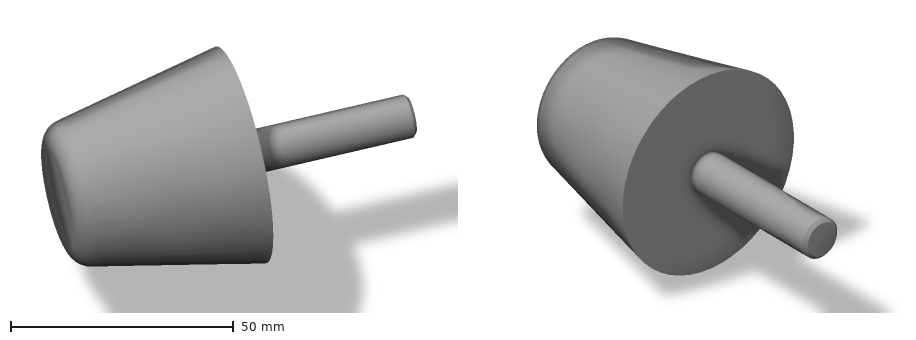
import cadquery as cq


wide_radius = 25.0
narrow_radius = 16.0
buffer_length = 43.0
nose_fillet = 5.0

stud_radius = 5.0
stud_length = 40.0
stud_chamfer = 0.8


def make_buffer():
    profile = (
        cq.Workplane("XY")
        .lineTo(wide_radius, 0)
        .lineTo(narrow_radius, -buffer_length)
        .lineTo(0, -buffer_length)
        .close()
    )
    cone = profile.revolve(360, (0, 0, 0), (0, 1, 0))
    return cone.faces("<Y").edges().fillet(nose_fillet)


def make_stud():
    stud = cq.Workplane("XZ").circle(stud_radius).extrude(-stud_length)
    return stud.faces(">Y").chamfer(stud_chamfer)


buffer = make_buffer()
stud = make_stud()

result = cq.Compound.makeCompound([buffer.val(), stud.val()])